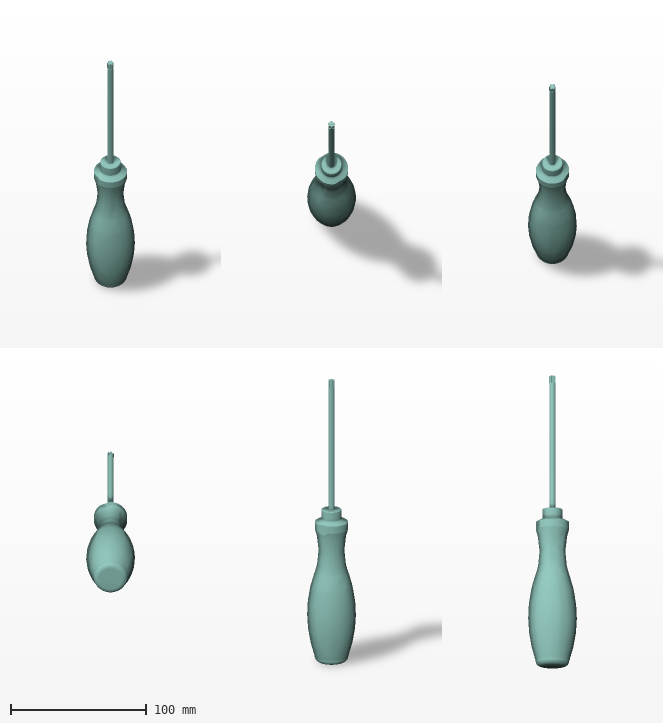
import cadquery as cq
import math

total_height = 218.0
butt_edge_z = 4.0
belly_z = 37.0
waist_z = 70.0
neck_z = 87.0
collar_bottom_z = 102.8
collar_top_z = 108.3
shoulder_top_z = 110.7
ferrule_top_z = 118.0
tip_length = 5.2
shaft_top_z = total_height - tip_length

butt_radius = 8.5
butt_edge_radius = 12.4
belly_radius = 18.0
waist_radius = 12.0
neck_radius = 9.5
collar_radius = 12.3
ferrule_radius = 7.5
ferrule_chamfer = 0.5
foot_radius = 7.7
foot_height = 0.4
shaft_radius = 2.3

flat_distance = 11.6

lobe_count = 6
tip_radius = 2.4
tip_root_radius = 1.65
flute_radius = 0.6


def make_body():
    """Revolve the butt, belly, neck, collar, ferrule and shaft as one profile."""
    diagonal = math.sqrt(0.5)
    butt_round_middle = (
        butt_radius + (butt_edge_radius - butt_radius) * diagonal,
        butt_edge_z * (1 - diagonal),
    )
    profile = (
        cq.Workplane("XZ")
        .lineTo(butt_radius, 0)
        .threePointArc(butt_round_middle, (butt_edge_radius, butt_edge_z))
        .spline([(belly_radius, belly_z), (waist_radius, waist_z)], includeCurrent=True)
        .threePointArc((neck_radius, neck_z), (collar_radius, collar_bottom_z))
        .lineTo(collar_radius, collar_top_z)
        .lineTo(foot_radius, shoulder_top_z)
        .lineTo(ferrule_radius, shoulder_top_z + foot_height)
        .lineTo(ferrule_radius, ferrule_top_z - ferrule_chamfer)
        .lineTo(ferrule_radius - ferrule_chamfer, ferrule_top_z)
        .lineTo(shaft_radius, ferrule_top_z)
        .lineTo(shaft_radius, shaft_top_z)
        .lineTo(0, shaft_top_z)
        .close()
    )
    return profile.revolve(360, (0, 0, 0), (0, 1, 0))


def cut_collar_flats(body):
    """Trim the collar to two parallel flats, leaving the belly below it untouched."""
    trim_height = ferrule_top_z - neck_z
    trim_depth = collar_radius - flat_distance
    for side in (-1, 1):
        trim = cq.Workplane("XY").box(
            2 * collar_radius, trim_depth, trim_height, centered=(True, True, False)
        )
        body = body.cut(trim.translate((0, side * (flat_distance + trim_depth / 2), neck_z)))
    return body


def make_tip():
    """Extrude a disc with six round flutes, leaving one lobe on +X."""
    lobe_angle = 360 / lobe_count
    disc = cq.Workplane("XY").workplane(offset=shaft_top_z)
    tip = disc.circle(tip_radius).extrude(tip_length)
    flutes = (
        disc.polarArray(tip_root_radius + flute_radius, lobe_angle / 2, 360, lobe_count)
        .circle(flute_radius)
        .extrude(tip_length)
    )
    return tip.cut(flutes)


result = cut_collar_flats(make_body()).union(make_tip())